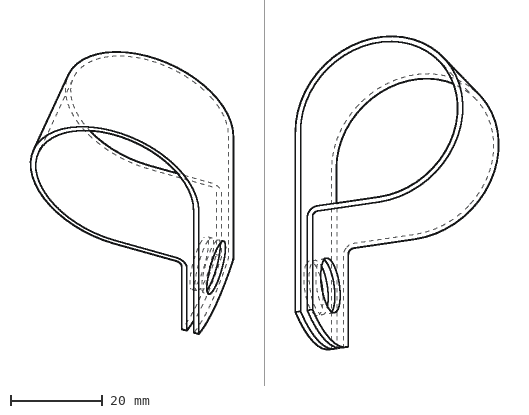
import cadquery as cq

loop_radius = 19.5
thickness = 1.2
width = 22.25
total_height = 64.7
tab_gap = 1.55
bend_inner_radius = 1.2
hole_diameter = 12.0
hole_to_tip = 12.75
tip_rise = 2.65

inner_radius = loop_radius - thickness
bend_outer_radius = bend_inner_radius + thickness
bottom_z = loop_radius - total_height
short_tab_outer_x = inner_radius - tab_gap
short_tab_inner_x = short_tab_outer_x - thickness
bend_x = short_tab_inner_x - bend_inner_radius
bend_z = -loop_radius - bend_inner_radius


def make_strap():
    """Strap outline in XZ: long tab, three-quarter loop, ledge, bend and short tab."""
    diagonal = 0.5 ** 0.5
    outline = (
        cq.Workplane("XZ")
        .moveTo(loop_radius, bottom_z)
        .lineTo(loop_radius, 0)
        .threePointArc((-loop_radius * diagonal, loop_radius * diagonal), (0, -loop_radius))
        .lineTo(bend_x, -loop_radius)
        .threePointArc(
            (bend_x + bend_inner_radius * diagonal, bend_z + bend_inner_radius * diagonal),
            (short_tab_inner_x, bend_z),
        )
        .lineTo(short_tab_inner_x, bottom_z)
        .lineTo(short_tab_outer_x, bottom_z)
        .lineTo(short_tab_outer_x, bend_z)
        .threePointArc(
            (bend_x + bend_outer_radius * diagonal, bend_z + bend_outer_radius * diagonal),
            (bend_x, -inner_radius),
        )
        .lineTo(0, -inner_radius)
        .threePointArc((-inner_radius * diagonal, inner_radius * diagonal), (inner_radius, 0))
        .lineTo(inner_radius, bottom_z)
        .close()
    )
    return outline.extrude(width / 2, both=True)


def make_side_envelope():
    """Side silhouette in YZ, with the rounded tab ends, spanning the whole part in X."""
    half_width = width / 2
    return (
        cq.Workplane("YZ")
        .moveTo(-half_width, loop_radius)
        .lineTo(-half_width, bottom_z + tip_rise)
        .threePointArc((0, bottom_z), (half_width, bottom_z + tip_rise))
        .lineTo(half_width, loop_radius)
        .close()
        .extrude(loop_radius, both=True)
    )


def make_bolt_hole():
    """Cylinder along X through both tabs."""
    return (
        cq.Workplane("YZ")
        .center(0, bottom_z + hole_to_tip)
        .circle(hole_diameter / 2)
        .extrude(loop_radius)
    )


result = make_strap().intersect(make_side_envelope()).cut(make_bolt_hole())